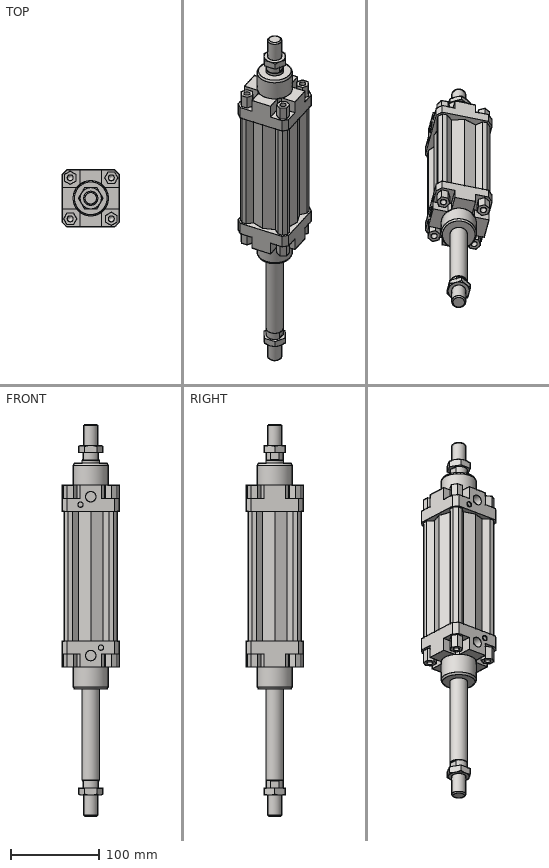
import cadquery as cq
import math


rod_diameter = 20.0
thread_diameter = 16.0
thread_length = 32.0
tip_chamfer = 1.5
rod_length = 444.0
rod_tip = rod_length / 2
thread_start = rod_tip - thread_length
shoulder_chamfer = 0.8
neck_diameter = 19.5
neck_length = 8.0
flats_width = 17.0

nut_across_flats = 24.0
nut_height = 8.0
nut_chamfer_angle = 30.0

body_length = 206.0
top_face = 153.0
bottom_face = top_face - body_length
body_middle = (top_face + bottom_face) / 2
cap_width = 65.0
cap_height = 29.5
cap_corner_chamfer = 5.5
arm_width = 24.0
pocket_depth = 15.0

boss_diameter = 40.0
boss_height = 25.0
hub_diameter = 39.0
boss_chamfer_height = 2.5
boss_chamfer_width = 1.5

tie_spacing = 46.5
tie_across_flats = 13.0
tie_hole_diameter = 6.8
tie_hole_depth = 10.0
tie_hole_point_angle = 118.0

port_diameter = 11.8
port_depth = 12.0
port_from_face = 13.0
cushion_diameter = 6.0
cushion_depth = 1.0
cushion_from_face = 22.0
cushion_offset = 11.6

barrel_half_width = 30.3
barrel_corner_chamfer = 4.3
land_start = 20.7
groove_offset = 14.0
groove_level = 24.5
ridge_level = 29.0


def hexagon_diameter(across_flats):
    """Across-corners size of a hexagon."""
    return across_flats / math.cos(math.pi / 6)


def make_barrel():
    """Profiled barrel between the caps."""
    land_end = barrel_half_width - barrel_corner_chamfer
    side = [
        (barrel_half_width, -land_end),
        (barrel_half_width, -land_start),
        (groove_level, -groove_offset),
        (ridge_level, 0.0),
        (groove_level, groove_offset),
        (barrel_half_width, land_start),
        (barrel_half_width, land_end),
    ]
    outline = []
    for quarter in range(4):
        turn = quarter * math.pi / 2
        for x, y in side:
            outline.append((x * math.cos(turn) - y * math.sin(turn), x * math.sin(turn) + y * math.cos(turn)))
    length = body_length - 2 * cap_height
    return cq.Workplane("XY").polyline(outline).close().extrude(length / 2, both=True)


def make_cap(cushion_x):
    """End cap with its outer face at Z = 0, boss upwards, port and cushion screw hole on the -Y side."""
    cap = (
        cq.Workplane("XY")
        .workplane(offset=-cap_height)
        .rect(cap_width, cap_width)
        .extrude(cap_height)
        .edges("|Z")
        .chamfer(cap_corner_chamfer)
    )

    pocket_size = (cap_width - arm_width) / 2
    pocket_centre = (arm_width + pocket_size) / 2
    pockets = (
        cq.Workplane("XY")
        .rect(2 * pocket_centre, 2 * pocket_centre, forConstruction=True)
        .vertices()
        .rect(pocket_size, pocket_size)
        .extrude(-pocket_depth)
    )
    cap = cap.cut(pockets)

    hub = cq.Workplane("XY").circle(hub_diameter / 2).extrude(-pocket_depth)
    boss_radius = boss_diameter / 2
    boss = (
        cq.Workplane("XZ")
        .lineTo(boss_radius, 0)
        .lineTo(boss_radius, boss_height - boss_chamfer_height)
        .lineTo(boss_radius - boss_chamfer_width, boss_height)
        .lineTo(0, boss_height)
        .close()
        .revolve(360, (0, 0, 0), (0, 1, 0))
    )
    cap = cap.union(hub).union(boss)

    hole_radius = tie_hole_diameter / 2
    cone_height = hole_radius / math.tan(math.radians(tie_hole_point_angle / 2))
    tie_hole = (
        cq.Workplane("XZ", origin=(-tie_spacing / 2, -tie_spacing / 2, 0))
        .lineTo(hole_radius, 0)
        .lineTo(hole_radius, -tie_hole_depth)
        .lineTo(0, -tie_hole_depth - cone_height)
        .close()
        .revolve(360, (0, 0, 0), (0, 1, 0))
    )
    for quarter in range(4):
        tie_nut = (
            cq.Workplane("XY")
            .workplane(offset=-pocket_depth)
            .center(-tie_spacing / 2, -tie_spacing / 2)
            .polygon(6, hexagon_diameter(tie_across_flats))
            .extrude(pocket_depth)
            .cut(tie_hole)
        )
        cap = cap.union(tie_nut.rotate((0, 0, 0), (0, 0, 1), 90 * quarter))

    side_face = cq.Workplane("XZ", origin=(0, -cap_width / 2, 0))
    port = side_face.center(0, -port_from_face).circle(port_diameter / 2).extrude(-port_depth)
    cushion = (
        side_face.center(cushion_x, -cushion_from_face)
        .circle(cushion_diameter / 2)
        .extrude(-cushion_depth)
    )
    return cap.cut(port).cut(cushion)


def make_housing():
    """Barrel and both caps, bored for the rod."""
    top_cap = make_cap(-cushion_offset).translate((0, 0, top_face))
    bottom_cap = make_cap(cushion_offset).mirror("XY").translate((0, 0, bottom_face))
    barrel = make_barrel().translate((0, 0, body_middle))
    bore = cq.Workplane("XY").circle(rod_diameter / 2).extrude(rod_length / 2, both=True)
    return barrel.union(top_cap).union(bottom_cap).cut(bore)


def make_rod():
    """Through rod with a shoulder, a necked wrench section and a threaded end at both tips."""
    shoulder = thread_start - neck_length
    shank = cq.Workplane("XY").circle(rod_diameter / 2).extrude(shoulder, both=True)
    shank = shank.faces("<Z or >Z").chamfer(shoulder_chamfer)

    neck = cq.Workplane("XY").circle(neck_diameter / 2).extrude(thread_start, both=True)
    flats = cq.Workplane("XY").rect(flats_width, rod_diameter).extrude(thread_start, both=True)

    thread = cq.Workplane("XY").circle(thread_diameter / 2).extrude(rod_tip, both=True)
    thread = thread.faces("<Z or >Z").chamfer(tip_chamfer)
    return shank.union(neck.intersect(flats)).union(thread)


def make_nut():
    """Hexagon nut standing on Z = 0, corners chamfered on its upper face."""
    corner_radius = hexagon_diameter(nut_across_flats) / 2
    flat_radius = nut_across_flats / 2
    chamfer_height = (corner_radius - flat_radius) * math.tan(math.radians(nut_chamfer_angle))
    blank = cq.Workplane("XY").polygon(6, 2 * corner_radius).extrude(nut_height)
    envelope = (
        cq.Workplane("XY")
        .circle(corner_radius)
        .extrude(nut_height)
        .faces(">Z")
        .chamfer(chamfer_height, corner_radius - flat_radius)
    )
    hole = cq.Workplane("XY").circle(thread_diameter / 2).extrude(nut_height)
    return blank.intersect(envelope).cut(hole)


housing = make_housing()
rod = make_rod()
nuts = []
for tilt in (0, 180):
    nut = make_nut().translate((0, 0, thread_start))
    nuts.append(nut.rotate((0, 0, 0), (0, 1, 0), tilt))

result = cq.Compound.makeCompound([housing.val(), rod.val()] + [nut.val() for nut in nuts])